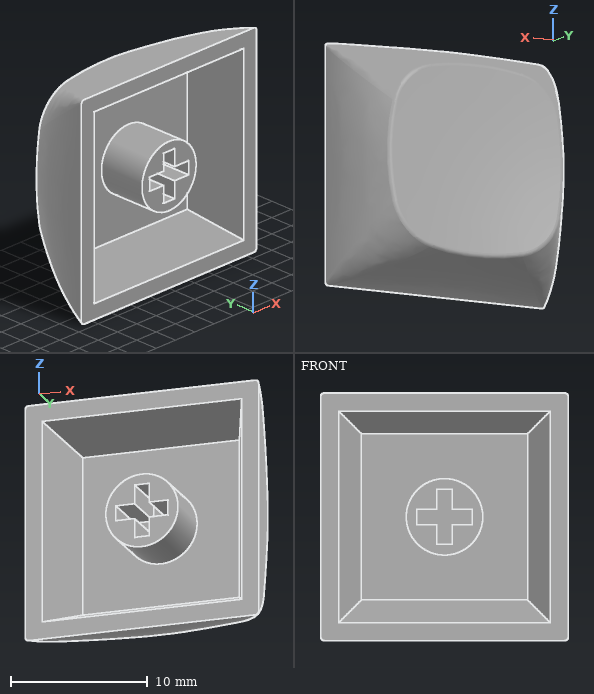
import cadquery as cq
import math

mouth_side = 18.15
height = 6.73

mouth_corner = 0.27
middle_side = 17.1
middle_bow = 0.45
middle_corner = 2.18
trim_allowance = 0.18
blank_height = height + trim_allowance
crown_side = 14.07
crown_bow = 1.0
crown_corner = 4.0

dish_radius = 47.19
dish_level_radius = 7.85
rim_fillet = 0.36

pocket_mouth_side = 15.5
pocket_floor_side = 12.16
pocket_depth = 4.2

stem_diameter = 5.6
cross_length = 4.05
cross_width = 1.15
cross_depth = pocket_depth


def plane_at(depth):
    """Workplane parallel to the mouth, with its normal towards +Y."""
    plane = cq.Plane(origin=(0, depth, 0), xDir=(1, 0, 0), normal=(0, 1, 0))
    return cq.Workplane(plane)


def bowed_square(side, bow, corner, depth):
    """Sketch of a square with outward-bowed sides and rounded corners.

    The side length is measured across the middles of the bowed sides.
    """
    middle = side / 2
    tip = middle - bow
    sketch = (
        cq.Sketch()
        .arc((-tip, -tip), (0, -middle), (tip, -tip))
        .arc((tip, -tip), (middle, 0), (tip, tip))
        .arc((tip, tip), (0, middle), (-tip, tip))
        .arc((-tip, tip), (-middle, 0), (-tip, -tip))
        .assemble()
        .vertices()
        .fillet(corner)
    )
    return sketch.moved(cq.Location(plane_at(depth).plane))


def make_body():
    """Bulging shell blank with a spherical dish and a softened rim."""
    mouth_sketch = cq.Sketch().rect(mouth_side, mouth_side).vertices().fillet(mouth_corner)
    sections = [
        mouth_sketch.moved(cq.Location(plane_at(0).plane)),
        bowed_square(middle_side, middle_bow, middle_corner, blank_height / 2),
        bowed_square(crown_side, crown_bow, crown_corner, blank_height),
    ]
    blank = cq.Workplane().placeSketch(*sections).loft()
    centre_height = height + math.sqrt(dish_radius**2 - dish_level_radius**2)
    dish = cq.Workplane().sphere(dish_radius).translate((0, centre_height, 0))
    dished = blank.cut(dish)
    return dished.faces(">Y").edges().fillet(rim_fillet)


def make_pocket():
    """Square pocket that narrows towards its floor."""
    return (
        plane_at(0)
        .rect(pocket_mouth_side, pocket_mouth_side)
        .workplane(offset=pocket_depth)
        .rect(pocket_floor_side, pocket_floor_side)
        .loft()
    )


def make_stem():
    """Round stem, flush with the mouth."""
    return plane_at(0).circle(stem_diameter / 2).extrude(pocket_depth)


def make_cross():
    """Two crossed slots that form the stem socket."""
    across = plane_at(0).rect(cross_length, cross_width).extrude(cross_depth)
    upright = plane_at(0).rect(cross_width, cross_length).extrude(cross_depth)
    return across.union(upright)


result = make_body().cut(make_pocket()).union(make_stem()).cut(make_cross())